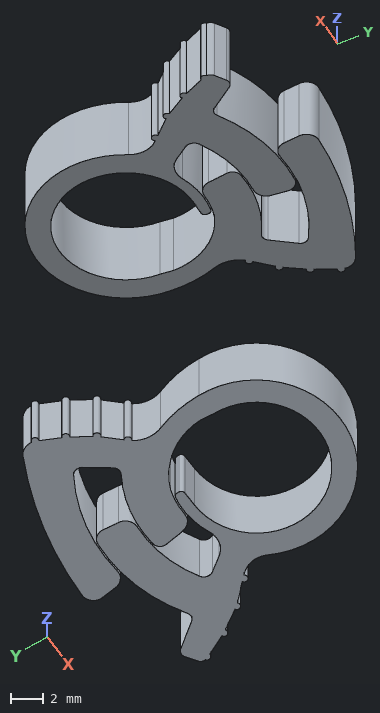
import cadquery as cq
import math


WIDTH = 4.6
RING_OUTER_R = 6.25
BORE_R = 4.65

TONGUE_TOP_R = 5.42
LOWER_TOOTH_THICKNESS = 2.85
MIDDLE_TOOTH_THICKNESS = 2.72
TOOTH_GAP = 0.1
LOWER_TOOTH_INNER_R = TONGUE_TOP_R + TOOTH_GAP
LOWER_TOOTH_OUTER_R = LOWER_TOOTH_INNER_R + LOWER_TOOTH_THICKNESS
MIDDLE_TOOTH_INNER_R = LOWER_TOOTH_OUTER_R + TOOTH_GAP
MIDDLE_TOOTH_OUTER_R = MIDDLE_TOOTH_INNER_R + MIDDLE_TOOTH_THICKNESS
UPPER_TOOTH_INNER_R = MIDDLE_TOOTH_OUTER_R + TOOTH_GAP
UPPER_TOOTH_OUTER_R = 24.65

RIB_R = 0.25
LEFT_RIBS = [(-9.31, 10.17), (-8.47, 8.45), (-7.43, 6.83), (-6.11, 5.42)]
RIGHT_RIBS = [(9.33, 10.14), (8.54, 8.32), (7.42, 6.59), (6.06, 5.09)]


def on_circle(radius, x):
    """Point on the upper half of a circle about the ring centre."""
    return (x, math.sqrt(radius**2 - x**2))


RING_LEFT = (-RING_OUTER_R, 0)
LEFT_SHOULDER_R = 8.6

LEFT_NECK = (-5.15, 4.4)
RIGHT_NECK = on_circle(RING_OUTER_R, 4.85)

HOOK_OUTER = (9.62, 10.55)
HOOK_TOP = (8.22, 11.51)
HOOK_ROOT = on_circle(MIDDLE_TOOTH_OUTER_R, 6.46)

MIDDLE_TIP_TOP = on_circle(MIDDLE_TOOTH_OUTER_R, -1.81)
MIDDLE_TIP_BOTTOM = on_circle(MIDDLE_TOOTH_INNER_R, -1.53)
RIGHT_POCKET_TOP = on_circle(MIDDLE_TOOTH_INNER_R, 4.9)
RIGHT_POCKET_BOTTOM = on_circle(TONGUE_TOP_R, 3.12)

TONGUE_TIP_TOP = on_circle(TONGUE_TOP_R, -1.3)
TONGUE_TIP_BOTTOM = (-1.3, BORE_R)
BORE_TOP = (0, BORE_R)
BORE_BOTTOM = (0, -BORE_R)
BORE_LEFT = (-BORE_R, 0)

RELIEF_START = (-4.74, 0.9)
RELIEF_MIDDLE = (-3.62, 3.86)
RELIEF_END = on_circle(LOWER_TOOTH_INNER_R, -1.7)

LOWER_TIP_BOTTOM = on_circle(LOWER_TOOTH_INNER_R, 1.0)
LOWER_TIP_TOP = on_circle(LOWER_TOOTH_OUTER_R, 1.42)
LEFT_POCKET_BOTTOM = on_circle(LOWER_TOOTH_OUTER_R, -4.73)
LEFT_POCKET_TOP = on_circle(UPPER_TOOTH_INNER_R, -6.42)
UPPER_TIP_BOTTOM = on_circle(UPPER_TOOTH_INNER_R, 1.99)
UPPER_TIP_TOP = (2.34, 14.03)
LEFT_JAW_TOP = (-9.69, 10.96)

CORNER_RADII = [
    (LEFT_NECK, 2.1),
    (RIGHT_NECK, 1.7),
    (HOOK_OUTER, 0.5),
    (HOOK_TOP, 0.45),
    (HOOK_ROOT, 0.45),
    (MIDDLE_TIP_TOP, 0.75),
    (MIDDLE_TIP_BOTTOM, 0.85),
    (RIGHT_POCKET_TOP, 0.6),
    (RIGHT_POCKET_BOTTOM, 1.4),
    (TONGUE_TIP_TOP, 0.27),
    (TONGUE_TIP_BOTTOM, 0.27),
    (LOWER_TIP_BOTTOM, 0.9),
    (LOWER_TIP_TOP, 0.6),
    (LEFT_POCKET_BOTTOM, 0.5),
    (LEFT_POCKET_TOP, 0.5),
    (UPPER_TIP_BOTTOM, 0.85),
    (UPPER_TIP_TOP, 0.85),
    (LEFT_JAW_TOP, 1.0),
]


def sharp_body():
    """Clamp body with square corners; positive arc radii run clockwise."""
    return (
        cq.Workplane("XY")
        .moveTo(*LEFT_NECK)
        .radiusArc(RING_LEFT, -LEFT_SHOULDER_R)
        .threePointArc((0, -RING_OUTER_R), RIGHT_NECK)
        .lineTo(*RIGHT_RIBS[2])
        .lineTo(*RIGHT_RIBS[1])
        .lineTo(*HOOK_OUTER)
        .lineTo(*HOOK_TOP)
        .lineTo(*HOOK_ROOT)
        .radiusArc(MIDDLE_TIP_TOP, -MIDDLE_TOOTH_OUTER_R)
        .lineTo(*MIDDLE_TIP_BOTTOM)
        .radiusArc(RIGHT_POCKET_TOP, MIDDLE_TOOTH_INNER_R)
        .lineTo(*RIGHT_POCKET_BOTTOM)
        .radiusArc(TONGUE_TIP_TOP, -TONGUE_TOP_R)
        .lineTo(*TONGUE_TIP_BOTTOM)
        .lineTo(*BORE_TOP)
        .radiusArc(BORE_BOTTOM, BORE_R)
        .radiusArc(BORE_LEFT, BORE_R)
        .lineTo(*RELIEF_START)
        .threePointArc(RELIEF_MIDDLE, RELIEF_END)
        .radiusArc(LOWER_TIP_BOTTOM, LOWER_TOOTH_INNER_R)
        .lineTo(*LOWER_TIP_TOP)
        .radiusArc(LEFT_POCKET_BOTTOM, -LOWER_TOOTH_OUTER_R)
        .lineTo(*LEFT_POCKET_TOP)
        .radiusArc(UPPER_TIP_BOTTOM, UPPER_TOOTH_INNER_R)
        .lineTo(*UPPER_TIP_TOP)
        .radiusArc(LEFT_JAW_TOP, -UPPER_TOOTH_OUTER_R)
        .lineTo(*LEFT_RIBS[1])
        .lineTo(*LEFT_RIBS[2])
        .close()
        .extrude(WIDTH)
    )


def round_corner(body, corner, radius):
    """Fillet the vertical edge that stands on the given corner."""
    nearest = cq.selectors.NearestToPointSelector((*corner, WIDTH / 2))
    return body.edges("|Z").edges(nearest).fillet(radius)


def grip_ribs():
    """Round ribs running the full width along both grip edges."""
    return cq.Workplane("XY").pushPoints(LEFT_RIBS + RIGHT_RIBS).circle(RIB_R).extrude(WIDTH)


body = sharp_body()
for corner_point, corner_radius in CORNER_RADII:
    body = round_corner(body, corner_point, corner_radius)

result = body.union(grip_ribs())